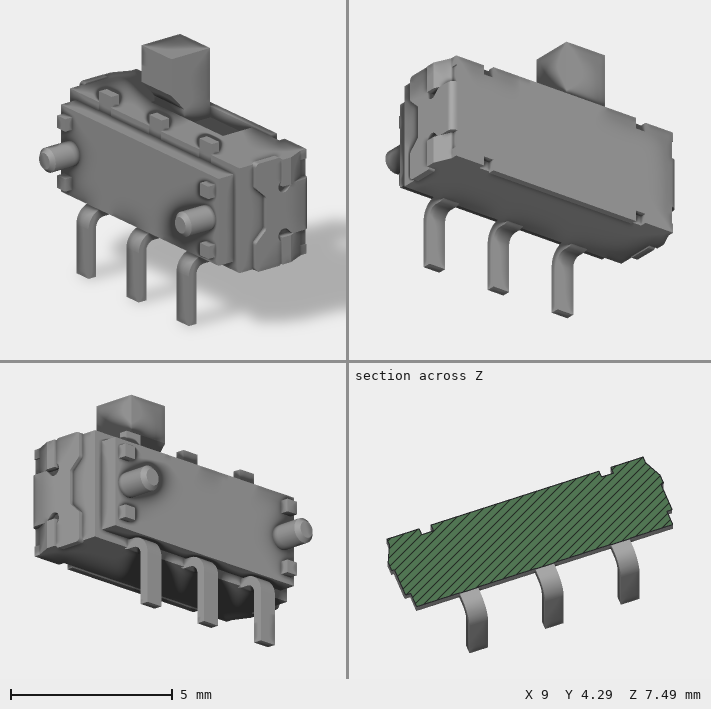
import cadquery as cq
import math


body_length = 8.48
body_height = 3.49
body_depth = 2.4
body_end_x = body_length / 2
body_top_z = body_height / 2

plate_length = 7.88
plate_height = 2.9
plate_thickness = 0.59
plate_top_z = plate_height / 2
peg_size = 0.41
peg_length = 0.28
peg_x = 3.57
peg_z = 1.0
pin_diameter = 0.8
pin_length = 1.08
pin_chamfer = 0.135
pin_x = 3.39

sheet = 0.225
shell_bend_radius = 0.22
shell_length = 8.82
shell_height = 3.6
shell_rear_y = body_depth + sheet
shell_end_x = shell_length / 2
shell_top_z = shell_height / 2
rear_tab_length = 5.56
arm_half_height = 0.85
end_plate_front_y = 0.51
end_plate_recess_y = 0.92
recess_centre_z = 0.0675
recess_outer_height = 1.82
recess_inner_height = 1.08
end_plate_round = 0.13
end_plate_rear_round = 0.08
relief_radius = 0.22
relief_y = 1.61
relief_z = 0.82

hook_inner_x = 3.16
hook_bottom_z = 1.43

lug_tip_x = 4.5
lug_catch_y = 1.49
lug_ramp_y = 1.82

pocket_length = 3.6
pocket_front_y = 1.27
pocket_depth = 0.31
slider_width = 1.49
slider_x = -1.01
slider_top_z = 3.75
slider_front_y = 0.86
slider_rear_y = 2.385
slider_neck_y = 1.38
slider_neck_z = 1.94
slider_slope_z = 2.53

terminal_pitch = 2.5
terminal_width = 0.61
terminal_thickness = 0.3
terminal_recess = 0.03
terminal_top_z = 2.1
terminal_bottom_z = -3.74
foot_z = -1.5
leg_front_y = -0.87
upper_bend = 0.09
lower_bend = 0.3


def block(x_range, y_range, z_range):
    """Box between two limits on each axis."""
    (x0, x1), (y0, y1), (z0, z1) = x_range, y_range, z_range
    return cq.Workplane("XY").box(x1 - x0, y1 - y0, z1 - z0, centered=False).translate((x0, y0, z0))


def mirror_four(shape):
    """The shape together with its copies across X = 0 and Z = 0."""
    pair = shape.union(shape.mirror("YZ"))
    return pair.union(pair.mirror("XY"))


def yz_prism(outline, x0, x1):
    """Closed (y, z) outline extruded from x0 to x1."""
    return cq.Workplane("YZ", origin=(x0, 0, 0)).polyline(outline).close().extrude(x1 - x0)


def make_body():
    body = block((-body_end_x, body_end_x), (0, body_depth), (-body_top_z, body_top_z))
    pocket = block(
        (-pocket_length / 2, pocket_length / 2),
        (pocket_front_y, body_depth),
        (body_top_z - pocket_depth, body_top_z),
    )
    hook = block((hook_inner_x, body_end_x), (body_depth, shell_rear_y), (hook_bottom_z, body_top_z))
    lug = (
        cq.Workplane("XY", origin=(0, 0, arm_half_height))
        .moveTo(body_end_x, body_depth)
        .lineTo(lug_tip_x, lug_ramp_y)
        .lineTo(lug_tip_x, lug_catch_y)
        .lineTo(body_end_x, lug_catch_y)
        .close()
        .extrude(body_top_z - arm_half_height)
    )
    return body.cut(pocket).union(mirror_four(hook)), mirror_four(lug)


def round_corners(shape, corners, radius):
    """Fillet the edges along X that pass through the given (y, z) corners."""
    reach = 0.01
    for y, z in corners:
        around_corner = cq.selectors.BoxSelector(
            (0, y - reach, z - reach), (lug_tip_x, y + reach, z + reach)
        )
        shape = shape.edges(around_corner).fillet(radius)
    return shape


def make_relief():
    """Teardrop bend relief: a round hole with a 45 degree tangent run out to the arm edge."""
    offset = relief_radius * math.sqrt(0.5)
    tangent_y = relief_y + offset
    tangent_z = relief_z - offset
    tip_y = tangent_y + arm_half_height - tangent_z
    hole = cq.Workplane("YZ", origin=(body_end_x, 0, 0)).center(relief_y, relief_z).circle(relief_radius)
    run_out = [
        (relief_y, relief_z),
        (tangent_y, tangent_z),
        (tip_y, arm_half_height),
        (relief_y, arm_half_height),
    ]
    return hole.extrude(sheet).union(yz_prism(run_out, body_end_x, body_end_x + sheet))


def make_end_plate():
    """Folded shell arm at the +X end, notched for the lugs."""
    recess_corners = [
        (end_plate_front_y, recess_centre_z + recess_outer_height / 2),
        (end_plate_recess_y, recess_centre_z + recess_inner_height / 2),
        (end_plate_recess_y, recess_centre_z - recess_inner_height / 2),
        (end_plate_front_y, recess_centre_z - recess_outer_height / 2),
    ]
    front_corners = [
        (end_plate_front_y, shell_top_z),
        *recess_corners,
        (end_plate_front_y, -shell_top_z),
    ]
    rear_corners = [(lug_catch_y, -shell_top_z), (lug_catch_y, shell_top_z)]
    outline = [
        *front_corners,
        rear_corners[0],
        (lug_catch_y, -arm_half_height),
        (shell_rear_y, -arm_half_height),
        (shell_rear_y, arm_half_height),
        (lug_catch_y, arm_half_height),
        rear_corners[1],
    ]
    plate = yz_prism(outline, shell_end_x - sheet, shell_end_x)
    plate = round_corners(plate, front_corners, end_plate_round)
    plate = round_corners(plate, rear_corners, end_plate_rear_round)
    plate = plate.edges("|Z and >X and >Y").fillet(shell_bend_radius)
    relief = make_relief()
    return plate.cut(relief).cut(relief.mirror("XY"))


def make_shell():
    tab_x = rear_tab_length / 2
    panel_x = shell_end_x - sheet
    sheet_y = (body_depth, shell_rear_y)
    tabs = block((-tab_x, tab_x), sheet_y, (-shell_top_z, shell_top_z))
    panel = block((-panel_x, panel_x), sheet_y, (-hook_bottom_z, hook_bottom_z))
    end_plate = make_end_plate()
    return panel.union(tabs).union(end_plate).union(end_plate.mirror("YZ"))


def make_base():
    front_y = -plate_thickness
    plate = block(
        (-plate_length / 2, plate_length / 2), (front_y, 0), (-plate_top_z, plate_top_z)
    )
    peg = block(
        (peg_x - peg_size / 2, peg_x + peg_size / 2),
        (front_y - peg_length, front_y),
        (peg_z - peg_size / 2, peg_z + peg_size / 2),
    )
    pins = (
        cq.Workplane("XZ", origin=(0, front_y, 0))
        .pushPoints([(-pin_x, 0), (pin_x, 0)])
        .circle(pin_diameter / 2)
        .extrude(pin_length)
        .faces("<Y")
        .chamfer(pin_chamfer)
    )
    return plate.union(mirror_four(peg)).union(pins)


def make_slider():
    outline = [
        (slider_rear_y, slider_top_z),
        (slider_front_y, slider_top_z),
        (slider_front_y, slider_slope_z),
        (slider_neck_y, slider_neck_z),
        (slider_neck_y, body_top_z - pocket_depth),
        (slider_rear_y, body_top_z - pocket_depth),
    ]
    return yz_prism(outline, slider_x - slider_width / 2, slider_x + slider_width / 2)


def make_terminal(x):
    """Strip that runs down through the body, bends forward and then down into a leg."""
    t = terminal_thickness
    stem_y = terminal_recess
    upper_outer = upper_bend + t
    lower_outer = lower_bend + t
    return (
        cq.Workplane("YZ", origin=(x - terminal_width / 2, 0, 0))
        .moveTo(stem_y + t, terminal_top_z)
        .lineTo(stem_y + t, foot_z + upper_bend)
        .radiusArc((stem_y - upper_bend, foot_z - t), upper_outer)
        .lineTo(leg_front_y + lower_outer, foot_z - t)
        .radiusArc((leg_front_y + t, foot_z - lower_outer), -lower_bend)
        .lineTo(leg_front_y + t, terminal_bottom_z)
        .lineTo(leg_front_y, terminal_bottom_z)
        .lineTo(leg_front_y, foot_z - lower_outer)
        .radiusArc((leg_front_y + lower_outer, foot_z), lower_outer)
        .lineTo(stem_y - upper_bend, foot_z)
        .radiusArc((stem_y, foot_z + upper_bend), -upper_bend)
        .lineTo(stem_y, terminal_top_z)
        .close()
        .extrude(terminal_width)
    )


def make_terminal_slot(x):
    """Shallow slot in the body front above the base plate, where a terminal shows."""
    half = terminal_width / 2
    return block((x - half, x + half), (0, terminal_recess), (plate_top_z, body_top_z))


body, lugs = make_body()
result = body.union(make_shell()).union(lugs).union(make_base()).union(make_slider())
for column in (-1, 0, 1):
    terminal_x = column * terminal_pitch
    result = result.cut(make_terminal_slot(terminal_x)).union(make_terminal(terminal_x))